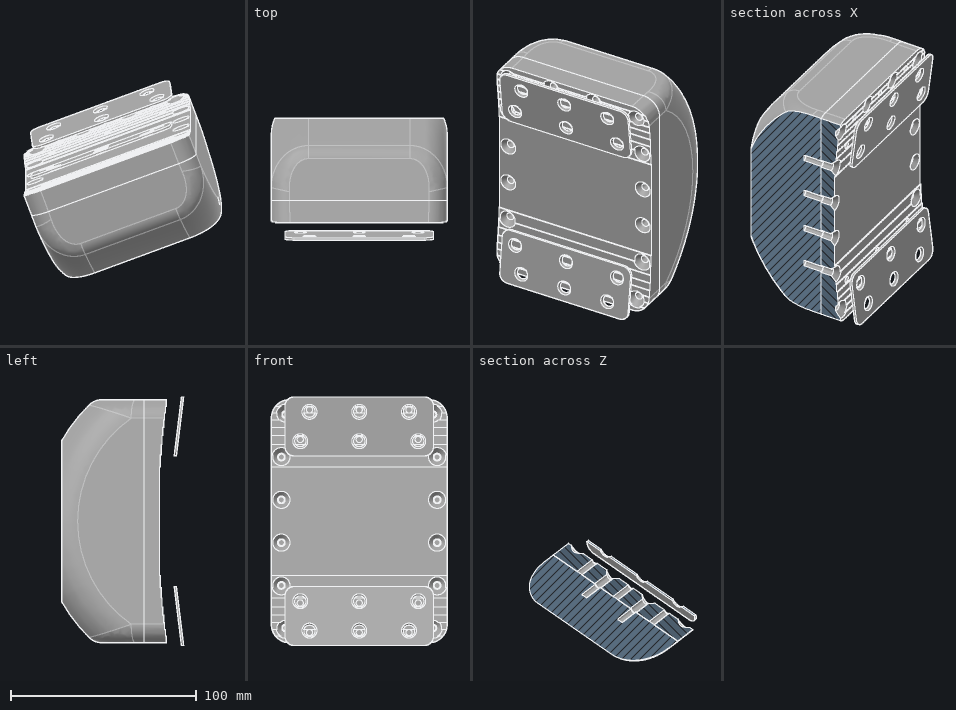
import cadquery as cq
import math


width = 95.0
height = 131.1
corner_radius = 10.0

dome_depth = 44.3
crown_radius = 88.0
crown_center_y = -32.2
side_fillet = 20.1

base_depth = 12.2
step_count = 8
step_depth = 0.47
base_curve_radius = 456.0
first_step_level = 2

side_screw_x = 42.0
side_screw_pitch = 23.0
side_screw_rows = 4
corner_screw_x = 39.7
corner_screw_z = 57.5
end_screw_z = 60.1
screw_head_diameter = 9.3
screw_hole_diameter = 4.2
pilot_diameter = 3.2
pilot_depth = 10.7

plate_width = 80.0
plate_length = 32.0
plate_thickness = 1.3
plate_corner_radius = 5.0
plate_tilt = 7.0
plate_center_y = -18.9
plate_center_z = 51.1
plate_row_pitch = 16.0
outer_row_pitch_x = 26.8
inner_row_pitch_x = 31.8
plate_hole_diameter = 6.2
plate_countersink_diameter = 8.0

mount_hole_diameter = 3.4
mount_row_center_z = 52.0

center_front_y = step_count * step_depth - base_depth


def rim_screw_places():
    """Centers (x, z) of the cover screws."""
    places = []
    for side in (-1, 1):
        for row in range(side_screw_rows):
            z = (row - (side_screw_rows - 1) / 2) * side_screw_pitch
            places.append((side * side_screw_x, z))
        for end in (-1, 1):
            places.append((side * corner_screw_x, end * corner_screw_z))
            places.append((side * corner_screw_x / 3, end * end_screw_z))
    return places


def plate_hole_places(row_center):
    """Centers (x, distance) of six holes in two rows, the outer row the narrower one."""
    rows = [
        (row_center + plate_row_pitch / 2, outer_row_pitch_x),
        (row_center - plate_row_pitch / 2, inner_row_pitch_x),
    ]
    return [(column * pitch, distance) for distance, pitch in rows for column in (-1, 0, 1)]


def cylinder_along_y(x, y, z, diameter, length):
    return cq.Solid.makeCylinder(diameter / 2, length, cq.Vector(x, y, z), cq.Vector(0, 1, 0))


def crown_y(z):
    return crown_center_y + math.sqrt(crown_radius**2 - z**2)


def make_envelope():
    """Rounded housing block with a crowned back, still without the flat back and the stepped front."""
    half_height = height / 2
    outline = (
        cq.Workplane("YZ")
        .moveTo(-base_depth, -half_height)
        .lineTo(crown_y(half_height), -half_height)
        .threePointArc((crown_y(0), 0), (crown_y(half_height), half_height))
        .lineTo(-base_depth, half_height)
        .close()
    )
    block = outline.extrude(width / 2, both=True)
    block = block.faces("%CYLINDER").edges("<X or >X").fillet(side_fillet)
    return block.faces("<Z or >Z").edges("not <Y").fillet(corner_radius)


def make_dome(envelope):
    limits = cq.Workplane("XY").box(width, dome_depth, height, centered=(True, False, True))
    dome = envelope.intersect(limits)
    for x, z in rim_screw_places():
        dome = dome.cut(cylinder_along_y(x, 0, z, pilot_diameter, pilot_depth))
    return dome


def step_half_span(step):
    """Distance from mid-height at which the base front moves out by one more step."""
    drop = (first_step_level + step) * step_depth
    return math.sqrt(base_curve_radius**2 - (base_curve_radius - drop) ** 2)


def base_front_y(z):
    steps_passed = sum(1 for step in range(step_count) if step_half_span(step) < abs(z))
    return center_front_y - steps_passed * step_depth


def make_front_steps():
    """Material in front of the base: a staircase that follows a wide cylinder about the X axis."""
    steps = cq.Workplane("XY")
    for step in range(step_count):
        slab_height = 2 * step_half_span(step)
        slab = cq.Workplane("XY").box(width, step_depth, slab_height, centered=(True, False, True))
        steps = steps.add(slab.translate((0, center_front_y - (step + 1) * step_depth, 0)))
    return steps.combine()


def make_screw_recess(x, z):
    """Screw hole with a 90 degree countersink that has the head diameter at the front beside its axis."""
    hole_radius = screw_hole_diameter / 2
    cone_end_y = base_front_y(z) + screw_head_diameter / 2 - hole_radius
    mouth_radius = hole_radius + cone_end_y + base_depth
    profile = [
        (0, -base_depth),
        (mouth_radius, -base_depth),
        (hole_radius, cone_end_y),
        (hole_radius, 0),
        (0, 0),
    ]
    recess = cq.Workplane("XY").polyline(profile).close().revolve(360, (0, 0), (0, 1))
    return recess.translate((x, 0, z))


def make_base(envelope):
    limits = cq.Workplane("XY").box(width, base_depth, height, centered=(True, False, True))
    base = envelope.intersect(limits.translate((0, -base_depth, 0))).cut(make_front_steps())
    for x, z in rim_screw_places():
        base = base.cut(make_screw_recess(x, z))
    for end in (-1, 1):
        for x, z in plate_hole_places(mount_row_center_z):
            base = base.cut(cylinder_along_y(x, -base_depth, end * z, mount_hole_diameter, base_depth))
    return base


def make_plate(end):
    """Flat plate with countersunk holes; end is 1 for the top plate and -1 for the bottom one."""
    plate = (
        cq.Workplane("XZ")
        .box(plate_width, plate_length, plate_thickness)
        .edges("|Y")
        .fillet(plate_corner_radius)
    )
    outer_face_y = -plate_thickness / 2
    for x, distance in plate_hole_places(0):
        countersink = cq.Solid.makeCone(
            plate_countersink_diameter / 2,
            plate_hole_diameter / 2,
            plate_thickness,
            cq.Vector(x, outer_face_y, distance),
            cq.Vector(0, 1, 0),
        )
        plate = plate.cut(countersink)
    plate = plate.rotate((0, 0, 0), (1, 0, 0), plate_tilt)
    plate = plate.translate((0, plate_center_y, plate_center_z))
    return plate if end > 0 else plate.mirror("XY")


envelope = make_envelope()
dome = make_dome(envelope)
base = make_base(envelope)
plates = [make_plate(end) for end in (1, -1)]

result = cq.Compound.makeCompound([dome.val(), base.val(), *[plate.val() for plate in plates]])